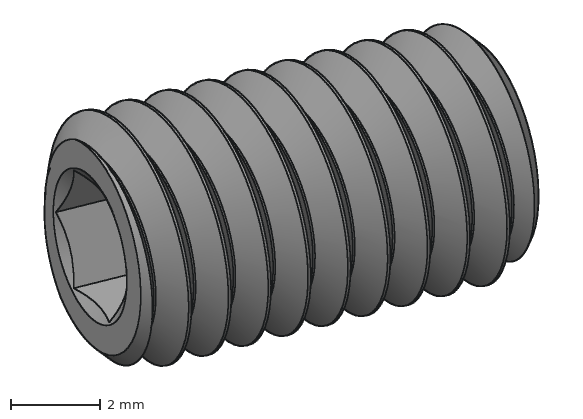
import cadquery as cq
import math

length = 10.0
major_radius = 3.0
end_chamfer = 0.5
crest_clearance = 0.2

pitch = 1.0
crest_width = 0.07
crest_offset = -0.025
flank_angle = 30.0
core_radius = 2.24
ridge_embed = 0.005
extra_turns = 1

hex_across_flats = 3.03
socket_depth = 3.5
mouth_radius = 1.81
mouth_half_angle = 60.0


def blank():
    """Rod along Z that clears the thread crests; its 45 degree ends chamfer the screw."""
    rod = cq.Workplane("XY").cylinder(length, major_radius + crest_clearance)
    return rod.faces("<Z or >Z").chamfer(end_chamfer + crest_clearance)


def threaded_rod():
    """Core plus a right-hand helical ridge, running past both ends of the screw."""
    flank_slope = math.tan(math.radians(flank_angle))
    ridge_foot_radius = core_radius - ridge_embed
    crest_half_width = crest_width / 2
    foot_half_width = crest_half_width + (major_radius - ridge_foot_radius) * flank_slope

    travel = length + 2 * extra_turns * pitch
    start = crest_offset - travel / 2
    helix = cq.Wire.makeHelix(pitch, travel, major_radius, center=cq.Vector(0, 0, start))
    profile = cq.Workplane("XZ").polyline([
        (ridge_foot_radius, start - foot_half_width),
        (major_radius, start - crest_half_width),
        (major_radius, start + crest_half_width),
        (ridge_foot_radius, start + foot_half_width),
    ]).close()
    ridge = profile.sweep(cq.Workplane(obj=helix), isFrenet=True)
    core = cq.Workplane("XY").cylinder(travel + 2 * pitch, core_radius)
    return core.union(ridge)


def socket_cutter():
    """Hexagonal prism plus mouth cone, entering from the lower end face."""
    mouth_cone_height = mouth_radius / math.tan(math.radians(mouth_half_angle))
    prism = (
        cq.Workplane("XY", origin=(0, 0, -length / 2))
        .transformed(rotate=(0, 0, 30))
        .polygon(6, hex_across_flats, circumscribed=True)
        .extrude(socket_depth)
    )
    cone = cq.Solid.makeCone(
        mouth_radius, 0, mouth_cone_height, cq.Vector(0, 0, -length / 2), cq.Vector(0, 0, 1)
    )
    return prism.union(cq.Workplane(obj=cone))


screw = blank().intersect(threaded_rod()).cut(socket_cutter())

result = screw.rotate((0, 0, 0), (1, 0, 0), -90)